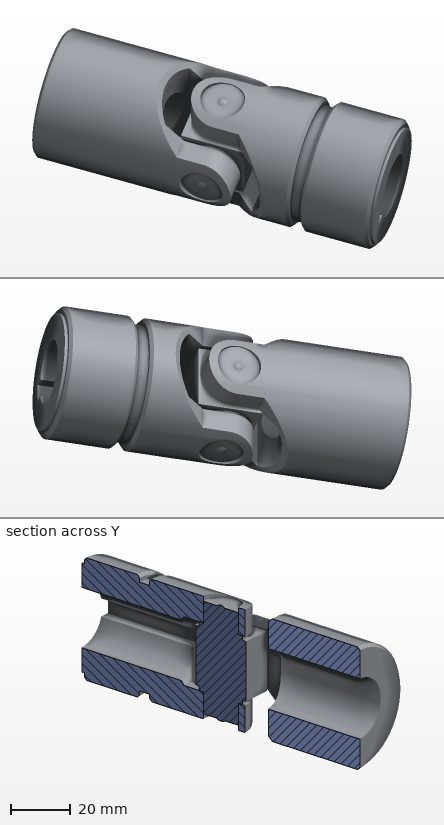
import cadquery as cq

LENGTH = 120.0
HALF_LENGTH = LENGTH / 2
HUB_DIAMETER = 45.0
HUB_RADIUS = HUB_DIAMETER / 2
BORE_DIAMETER = 22.0
EDGE_CHAMFER = 1.1

ARM_RADIUS = 10.5
ARM_INNER_HEIGHT = 12.5
SHOULDER_START = 22.2
ARM_ROOT = 9.4
SLOT_RADIUS = 20.3

NECK_DIAMETER = 40.0
NECK_RADIUS = NECK_DIAMETER / 2
GROOVE_START = 30.8
GROOVE_END = 34.9
SPIGOT_LENGTH = 1.1

KEYWAY_WIDTH = 6.6
KEYWAY_REACH = 13.9

BLOCK_SIZE = 22.0
BOSS_DIAMETER = 19.0
TRUNNION_DIAMETER = 15.0
TRUNNION_HEIGHT = 20.6
TIP_DIAMETER = 3.6
TIP_HEIGHT = 0.6


def x_cylinder(radius, start, end):
    """Cylinder on the X axis between two X positions."""
    return cq.Workplane("YZ", origin=(start, 0, 0)).circle(radius).extrude(end - start)


def fork_outline():
    """Hub, sloping shoulders and round-tipped arm, extended along Z."""
    return (
        cq.Workplane("XY")
        .moveTo(HALF_LENGTH, -HUB_RADIUS)
        .lineTo(SHOULDER_START, -HUB_RADIUS)
        .lineTo(ARM_ROOT, -ARM_RADIUS)
        .lineTo(0, -ARM_RADIUS)
        .threePointArc((-ARM_RADIUS, 0), (0, ARM_RADIUS))
        .lineTo(ARM_ROOT, ARM_RADIUS)
        .lineTo(SHOULDER_START, HUB_RADIUS)
        .lineTo(HALF_LENGTH, HUB_RADIUS)
        .close()
        .extrude(HUB_RADIUS, both=True)
    )


def fork_slot():
    """Slot across the yoke along Y, with a round floor and flat faces that leave the two arms."""
    cylinder = cq.Workplane("XZ").circle(SLOT_RADIUS).extrude(HUB_RADIUS, both=True)
    gap = cq.Workplane("XY").box(2 * SLOT_RADIUS, HUB_DIAMETER, 2 * ARM_INNER_HEIGHT)
    return cylinder.intersect(gap)


def make_yoke(hub):
    """Yoke cut from a turned hub, opening toward -X with its arms at +Z and -Z."""
    trunnion_hole = cq.Workplane("XY").circle(TRUNNION_DIAMETER / 2).extrude(HUB_RADIUS, both=True)
    bore = x_cylinder(BORE_DIAMETER / 2, 0, HALF_LENGTH)
    return hub.intersect(fork_outline()).cut(fork_slot()).cut(bore).cut(trunnion_hole)


def make_driving_yoke():
    """Plain yoke at -X, with its arms at +Y and -Y."""
    hub = x_cylinder(HUB_RADIUS, -ARM_RADIUS, HALF_LENGTH).faces(">X").chamfer(EDGE_CHAMFER)
    yoke = make_yoke(hub).rotate((0, 0, 0), (0, 0, 1), 180)
    return yoke.rotate((0, 0, 0), (1, 0, 0), 90)


def keyway():
    """Key slot on the -Y side of the bore, along its whole length."""
    return cq.Workplane("XY").box(
        HALF_LENGTH, KEYWAY_REACH, KEYWAY_WIDTH, centered=(False, False, True)
    ).translate((0, -KEYWAY_REACH, 0))


def make_driven_yoke():
    """Grooved yoke at +X, with its arms at +Z and -Z and a keyed bore."""
    front = x_cylinder(HUB_RADIUS, -ARM_RADIUS, GROOVE_START).faces(">X").chamfer(EDGE_CHAMFER)
    collar = x_cylinder(HUB_RADIUS, GROOVE_END, HALF_LENGTH - SPIGOT_LENGTH)
    collar = collar.faces("<X or >X").chamfer(EDGE_CHAMFER)
    neck = x_cylinder(NECK_RADIUS, 0, HALF_LENGTH)
    hub = front.union(neck).union(collar)
    return make_yoke(hub).cut(keyway())


def make_trunnion():
    """Trunnion along +Z: shoulder boss and pin with a small domed tip."""
    boss = cq.Workplane("XY").circle(BOSS_DIAMETER / 2).extrude(ARM_INNER_HEIGHT)
    pin = cq.Workplane("XY").circle(TRUNNION_DIAMETER / 2).extrude(TRUNNION_HEIGHT)
    tip_radius = TIP_DIAMETER / 2
    dome_radius = (tip_radius**2 + TIP_HEIGHT**2) / (2 * TIP_HEIGHT)
    dome_centre = TRUNNION_HEIGHT + TIP_HEIGHT - dome_radius
    dome = cq.Workplane("XY", origin=(0, 0, dome_centre)).sphere(dome_radius)
    tip = cq.Workplane("XY").circle(tip_radius).extrude(HUB_RADIUS).intersect(dome)
    return boss.union(pin).union(tip)


def make_cross():
    """Cubic block with four trunnions, along +Z, -Z, +Y and -Y."""
    cross = cq.Workplane("XY").box(BLOCK_SIZE, BLOCK_SIZE, BLOCK_SIZE)
    trunnion = make_trunnion()
    for angle in (0, 90, 180, 270):
        cross = cross.union(trunnion.rotate((0, 0, 0), (1, 0, 0), angle))
    return cross


driving_yoke = make_driving_yoke()
driven_yoke = make_driven_yoke()
cross = make_cross()

result = cq.Compound.makeCompound([driving_yoke.val(), driven_yoke.val(), cross.val()])